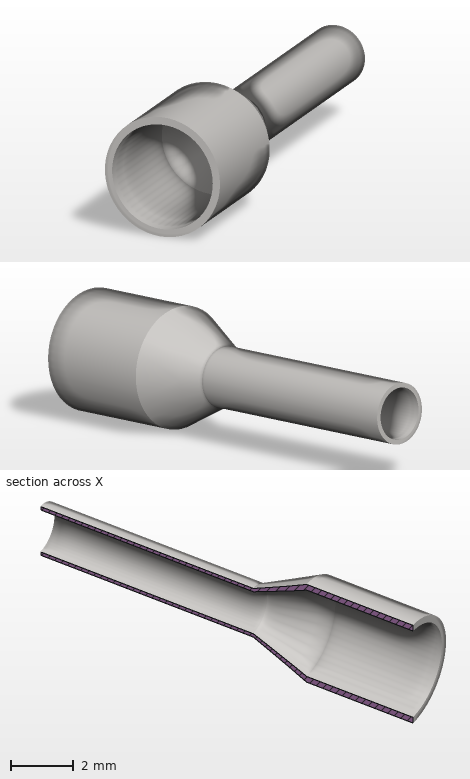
import cadquery as cq

total_length = 14.0
collar_length = 4.0
cone_length = 2.0
collar_outer_diameter = 4.0
collar_inner_diameter = 3.5
tube_outer_diameter = 2.0
tube_inner_diameter = 1.7

cone_start = collar_length
cone_end = collar_length + cone_length


def stepped_body(collar_diameter, tube_diameter):
    """Solid of revolution with a collar, a cone and a tube, collar end at Y = 0."""
    collar_radius = collar_diameter / 2
    tube_radius = tube_diameter / 2
    half_profile = (
        cq.Workplane("XY")
        .moveTo(0, 0)
        .lineTo(collar_radius, 0)
        .lineTo(collar_radius, cone_start)
        .lineTo(tube_radius, cone_end)
        .lineTo(tube_radius, total_length)
        .lineTo(0, total_length)
        .close()
    )
    return half_profile.revolve(360, (0, 0, 0), (0, 1, 0))


outer_body = stepped_body(collar_outer_diameter, tube_outer_diameter)
through_passage = stepped_body(collar_inner_diameter, tube_inner_diameter)

result = outer_body.cut(through_passage)